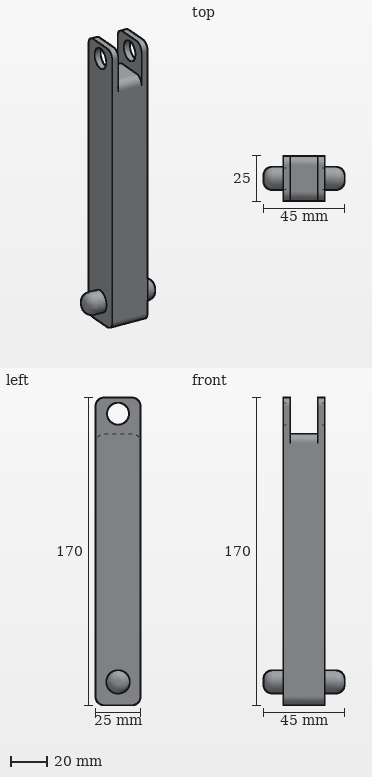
import cadquery as cq

BODY_WIDTH = 23.0
BODY_DEPTH = 25.0
BODY_HEIGHT = 170.0
CORNER_RADIUS = 5.0

FORK_GAP = 15.0
FORK_DEPTH = 20.0
FORK_HOLE_DIAMETER = 12.0
FORK_HOLE_FROM_TOP = 9.0

PIN_LENGTH = 45.0
PIN_DIAMETER = 13.0
PIN_END_RADIUS = 5.0
PIN_FROM_BOTTOM = 13.0


def rounded_bar(width, height):
    """Bar standing on Z = 0 with its four X-direction edges rounded."""
    bar = cq.Workplane("XY").box(width, BODY_DEPTH, height, centered=(True, True, False))
    return bar.edges("|X").fillet(CORNER_RADIUS)


def cross_cylinder(diameter, length, z):
    """Cylinder along X, centred on the body at height z."""
    return (
        cq.Workplane("YZ", origin=(-length / 2, 0, z))
        .circle(diameter / 2)
        .extrude(length)
    )


def fork_gap():
    """Space between the cheeks, above a fork floor with rounded front and back edges."""
    floor_height = BODY_HEIGHT - FORK_DEPTH
    gap_bottom = floor_height - CORNER_RADIUS
    gap = cq.Workplane("XY", origin=(0, 0, gap_bottom)).box(
        FORK_GAP, BODY_DEPTH, BODY_HEIGHT - gap_bottom, centered=(True, True, False)
    )
    return gap.cut(rounded_bar(FORK_GAP, floor_height))


def fork_holes():
    """Coaxial holes through both cheeks."""
    return cross_cylinder(FORK_HOLE_DIAMETER, BODY_WIDTH, BODY_HEIGHT - FORK_HOLE_FROM_TOP)


def cross_pin():
    """Pin protruding from both sides, with rounded ends."""
    pin = cross_cylinder(PIN_DIAMETER, PIN_LENGTH, PIN_FROM_BOTTOM)
    return pin.faces("<X or >X").edges().fillet(PIN_END_RADIUS)


arm = rounded_bar(BODY_WIDTH, BODY_HEIGHT)
forked_arm = arm.cut(fork_gap()).cut(fork_holes())
result = forked_arm.union(cross_pin())